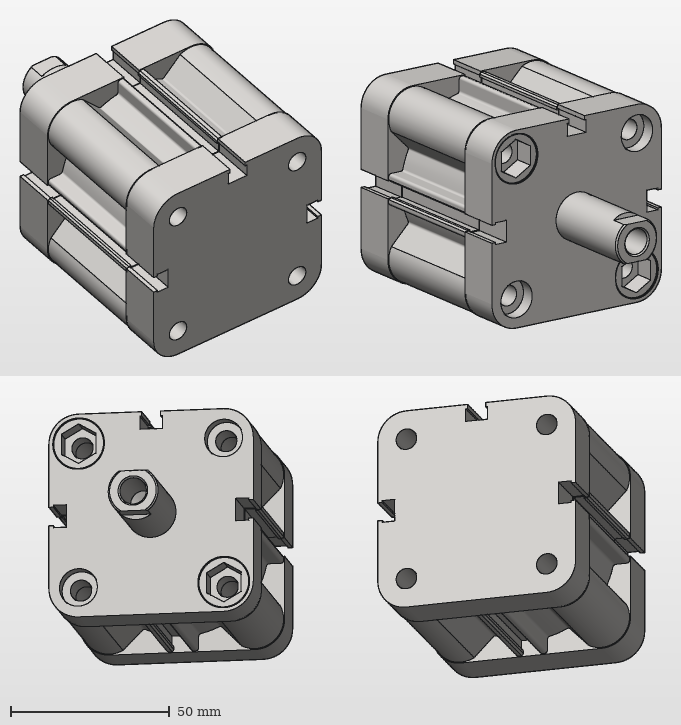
import cadquery as cq
import math


body_size = 65.5
rod_reach = 32.9
cap_length = 14.7
barrel_length = 42.1
bolt_pitch = 46.5

bolt_hole_diameter = 6.8
counterbore_diameter = 12.1
counterbore_depth = 4.8
hex_across_flats = 11.1
hex_depth = 7.3
screw_head_diameter = 16.0
screw_head_setback = 0.3
screw_pocket_diameter = 16.5
screw_pocket_depth = 0.5

cap_slot_opening = 6.0
cap_slot_width = 7.2
cap_lip_depth = 1.5
cap_slot_depth = 5.6
barrel_slot_opening = 5.3
barrel_slot_width = 6.6
barrel_lip_depth = 1.9
barrel_slot_depth = 5.3
barrel_lip_chamfer = 0.6

barrel_inset = 0.3
tube_radius = 27.6
post_edge = 19.0
rib_width = 10.5
rib_fillet = 0.9
post_root_fillet = 0.8

rod_diameter = 16.0
rod_chamfer = 0.5
flat_spacing = 13.0
flat_length = 6.1
flat_runout = 0.3
thread_hole_diameter = 8.5
thread_hole_depth = 19.9
thread_hole_chamfer = 0.5
drill_tip_angle = 118.0

half_body = body_size / 2
bolt_offset = bolt_pitch / 2
front_cap_x = rod_reach
barrel_x = front_cap_x + cap_length
rear_cap_x = barrel_x + barrel_length
half_barrel = half_body - barrel_inset
corner_radius = half_body - bolt_offset
post_radius = half_barrel - bolt_offset
rod_radius = rod_diameter / 2
quarter_turns = (0, 90, 180, 270)
cap_slot_turns = (0, 90, 270)
bolt_points = [(y, z) for y in (-bolt_offset, bolt_offset) for z in (-bolt_offset, bolt_offset)]
screw_points = [point for point in bolt_points if point[0] * point[1] > 0]
counterbore_points = [point for point in bolt_points if point[0] * point[1] < 0]


def section_at(x):
    """Workplane across the cylinder axis: local axes are Y and Z, extrusion goes toward +X."""
    return cq.Workplane("YZ", origin=(x, 0, 0))


def turned(solid, angle):
    """Copy of a solid turned about the cylinder axis."""
    return solid.rotate((0, 0, 0), (1, 0, 0), angle)


def cut_slots(block, slot, turns):
    """Cut the same slot into the sides reached by the given turns from +Z."""
    for angle in turns:
        block = block.cut(turned(slot, angle))
    return block


def t_slot(x, length, opening, width, lip_depth, depth):
    """T-slot cutter for the +Z side, with depths measured from the cap side."""
    neck = section_at(x).center(0, half_body - depth / 2).rect(opening, depth).extrude(length)
    channel_height = depth - lip_depth
    channel_z = half_body - depth + channel_height / 2
    channel = section_at(x).center(0, channel_z).rect(width, channel_height).extrude(length)
    return neck.union(channel)


def make_cap(x):
    """Rounded square cap with through bolt holes and a slot in three sides."""
    cap = section_at(x).rect(body_size, body_size).extrude(cap_length)
    cap = cap.edges("|X").fillet(corner_radius)
    holes = section_at(x).pushPoints(bolt_points).circle(bolt_hole_diameter / 2).extrude(cap_length)
    slot = t_slot(x, cap_length, cap_slot_opening, cap_slot_width, cap_lip_depth, cap_slot_depth)
    return cut_slots(cap.cut(holes), slot, cap_slot_turns)


def make_front_cap():
    """Cap with two hex screw heads, two counterbores and a bore for the rod."""
    face = section_at(front_cap_x)
    hex_circumdiameter = hex_across_flats / math.cos(math.pi / 6)
    hex_prism = turned(face.polygon(6, hex_circumdiameter).extrude(hex_depth), 90)
    pockets = face.pushPoints(screw_points).circle(screw_pocket_diameter / 2).extrude(screw_pocket_depth)
    heads = section_at(front_cap_x + screw_head_setback).pushPoints(screw_points)
    heads = heads.circle(screw_head_diameter / 2).extrude(screw_pocket_depth)
    pockets = pockets.cut(heads)
    counterbores = face.pushPoints(counterbore_points).circle(counterbore_diameter / 2)
    counterbores = counterbores.extrude(counterbore_depth)
    rod_bore = face.circle(rod_radius).extrude(cap_length)
    cap = make_cap(front_cap_x).cut(pockets).cut(counterbores).cut(rod_bore)
    for y, z in screw_points:
        cap = cap.cut(hex_prism.translate((0, y, z)))
    return cap


flank_rise = math.sqrt(post_radius**2 - (bolt_offset - post_edge)**2)
post_edge_far = bolt_offset + flank_rise
flank_shift = post_edge_far - post_edge
post_root = (math.sqrt(2 * tube_radius**2 - flank_shift**2) - flank_shift) / 2
post_root_far = post_root + flank_shift
rib_root = math.sqrt(tube_radius**2 - (rib_width / 2)**2)


def make_post():
    """Corner post: round outside, with two flat flanks running at 45 degrees to the tube."""
    tip = bolt_offset + post_radius * math.cos(math.pi / 4)
    return (
        section_at(barrel_x)
        .moveTo(post_edge, post_edge_far)
        .threePointArc((tip, tip), (post_edge_far, post_edge))
        .lineTo(post_root_far, post_root)
        .lineTo(0, 0)
        .lineTo(post_root, post_root_far)
        .close()
        .extrude(barrel_length)
    )


def long_edges_at(block, near, far):
    """Edges along X lying near and far from the axis planes, on all four sides."""
    tolerance = 0.01

    def matches(edge):
        centre = edge.Center()
        low, high = sorted((abs(centre.y), abs(centre.z)))
        return abs(low - near) < tolerance and abs(high - far) < tolerance

    return block.edges("|X").filter(matches)


def make_barrel():
    """Tube-shaped core with four corner posts and a slotted rib in the middle of each side."""
    section = section_at(barrel_x)
    barrel = section.circle(tube_radius).extrude(barrel_length)
    rib = section.center(0, half_barrel / 2).rect(rib_width, half_barrel).extrude(barrel_length)
    post = make_post()
    for angle in quarter_turns:
        barrel = barrel.union(turned(rib, angle)).union(turned(post, angle))
    barrel = long_edges_at(barrel, post_root, post_root_far).fillet(post_root_fillet)
    barrel = long_edges_at(barrel, rib_width / 2, rib_root).fillet(rib_fillet)
    barrel = long_edges_at(barrel, rib_width / 2, half_barrel).fillet(rib_fillet)
    slot = t_slot(
        barrel_x, barrel_length, barrel_slot_opening, barrel_slot_width, barrel_lip_depth, barrel_slot_depth
    )
    barrel = cut_slots(barrel, slot, quarter_turns)
    barrel = long_edges_at(barrel, barrel_slot_opening / 2, half_barrel).chamfer(barrel_lip_chamfer)
    bolt_holes = section.pushPoints(bolt_points).circle(bolt_hole_diameter / 2).extrude(barrel_length)
    return barrel.cut(bolt_holes)


def make_threaded_hole():
    """Hole in the rod tip with a countersunk mouth and a conical drill bottom."""
    radius = thread_hole_diameter / 2
    cone_depth = radius / math.tan(math.radians(drill_tip_angle / 2))
    return (
        cq.Workplane("XY")
        .lineTo(0, radius + thread_hole_chamfer)
        .lineTo(thread_hole_chamfer, radius)
        .lineTo(thread_hole_depth, radius)
        .lineTo(thread_hole_depth + cone_depth, 0)
        .close()
        .revolve(360, (0, 0, 0), (1, 0, 0))
    )


def make_flat():
    """Cutter for the wrench flat on top of the rod tip, with a sloped inner end."""
    return (
        cq.Workplane("XZ")
        .moveTo(0, flat_spacing / 2)
        .lineTo(flat_length, flat_spacing / 2)
        .lineTo(flat_length + flat_runout, rod_radius)
        .lineTo(0, rod_radius)
        .close()
        .extrude(rod_radius, both=True)
    )


def make_rod():
    """Rod from its tip at X = 0 through the front cap to the barrel."""
    rod = section_at(0).circle(rod_radius).extrude(barrel_x)
    rod = rod.faces("<X").chamfer(rod_chamfer)
    flat = make_flat()
    for angle in (0, 180):
        rod = rod.cut(turned(flat, angle))
    return rod.cut(make_threaded_hole())


front_cap = make_front_cap()
barrel = make_barrel()
rear_cap = make_cap(rear_cap_x)
rod = make_rod()

result = cq.Compound.makeCompound([front_cap.val(), barrel.val(), rear_cap.val(), rod.val()])